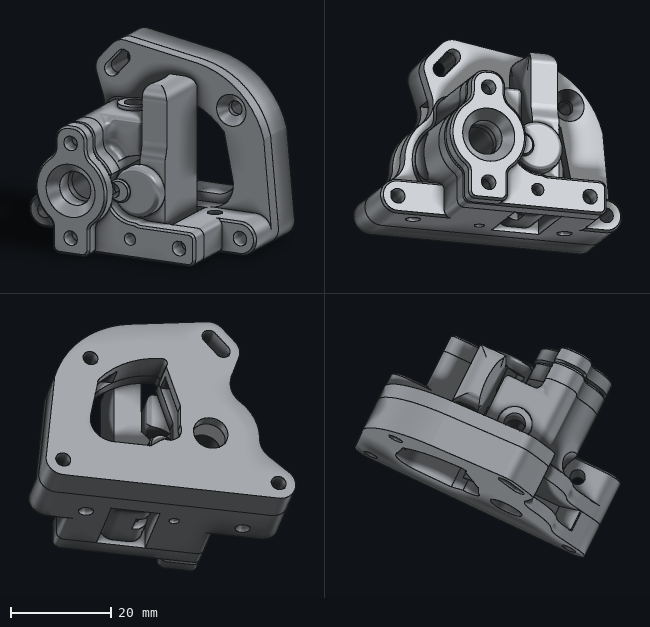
import cadquery as cq
import math


REAR_DEPTH = 7.0
PLATE_DEPTH = 10.0
LUG_DEPTH = 16.95
MIDDLE_DEPTH = 24.9
COVER_DEPTH = 28.85
CAP_DEPTH = 32.27
EDGE = 0.45
PICK = 0.3

LUG_R = 3.5
LUG_SPACING = 44.0
LUG_LEFT_X = -13.88
LUG_RIGHT_X = LUG_LEFT_X + LUG_SPACING
LUG_Z = -9.85
BASE_BOTTOM = LUG_Z - LUG_R
BASE_TOP = LUG_Z + LUG_R
BAR_RIGHT_X = 26.14
BAR_CORNER_R = 1.5
SCREW_D = 3.0
BASE_SCREW_LEFT_X = -9.39
BASE_SCREW_SPACING = 32.0
BASE_SCREW_RIGHT_X = BASE_SCREW_LEFT_X + BASE_SCREW_SPACING
SCREW_HEAD_R = 3.0
FEED_DEPTH = 13.25

HOUSING_R = 8.0
BORE_D = 7.0
BORE_MOUTH_D = 11.0
SPIGOT_D = 8.0
SPIGOT_DEPTH = 26.65
TOP_EAR_HALF = 3.5
TOP_EAR_CORNER_R = 3.0
TOP_EAR_BLEND_R = 3.0
FOOT_HALF = 4.1
FOOT_BLEND_R = 2.0
HOUSING_TOP = -BASE_BOTTOM

SLOT_TOP = (0.25, 22.2)
SLOT_LOW = (-2.45, 19.3)
SLOT_D = 3.0
SLOT_EAR_R = 3.5
SIDE_R = 10.0
SIDE_BLEND_R = 5.0
SIDE_ANGLE = 126.9
WAIST_TILT = 16.0
TOP_TILT = 9.2
FLANK_TILT = 33.0
BIG_ARC = ((16.77, 23.1), (27.25, 17.5), (31.85, 9.2))
SINK_SCREW = (24.56, 14.28)
SINK_D = 6.6

POCKET_BACK = 2.5
POCKET_TOP = 13.3
POCKET_OPEN_X = -20.0
POCKET_RIGHT = 26.0
POCKET_SIDE_TOP = 7.67
POCKET_SIDE_LOW = 1.6
POCKET_FLOOR = -3.4
POCKET_LIP = (-13.07, -5.0)
POCKET_SUMP = (-8.4, -9.8)
POCKET_STEP_X = 8.0

WINDOW_TOP_ARC = ((10.1, 15.95), (17.4, 13.96), (22.93, 9.5))
WINDOW_TIP_ARC = ((9.1, 14.3), (8.9, 15.2))
WINDOW_LEFT = 6.2
WINDOW_SHOULDER_Z = 5.5
WINDOW_SIDE_TILT = 10.0
WINDOW_CORNER = (19.95, -1.3)
WINDOW_CORNER_R = 5.05
REAR_CORNER = (19.8, 0.3)
REAR_CORNER_R = 4.75

LEVER_X = 12.2
LEVER_R = 5.195
LEVER_CLEAR_R = 6.0
LEVER_LEFT = 11.79
LEVER_RIGHT = LEVER_X + LEVER_R
LEVER_TOP = 21.15
LEVER_BACK = 10.95
LEVER_UPPER_FRONT = 24.05
LEVER_HEAD_FRONT = 27.65
LEVER_HEAD_EDGE = 1.0
LEVER_TOP_R = 2.95
PIVOT = (11.57, -9.38)
PIVOT_D = 2.5
PIVOT_BOSS_R = 3.5
PIVOT_BLEND_R = 2.0
WEB_TOP = -3.0
TAIL_R = 2.9
TAIL_CORNER_R = 2.75
FLARE_LOW = 6.05
FLARE_MID = 7.44
FLARE_TOP = 9.94
SCOOP_R = 17.0
SCOOP_DEPTH = 1.1
SCOOP_LOW = 13.6
IDLER_SLOT = (15.95, 19.87)
WELL_LEFT = 8.0
WELL_RIGHT = 17.95
WELL_LIP_R = 1.65

PIN_X = 8.65
PIN_D = 4.86
PIN_WAIST_D = 4.13
PIN_BACK = 6.5
PIN_FRONT = 28.2
PIN_CHAMFER = (PIN_D - PIN_WAIST_D) / 2
PIN_WALL = 0.8
PIN_GAP = 0.25
PIN_HOLE_X = 7.36
PIN_HOLE_D = 3.0

FEED_X = 4.6
FEED_D = 2.0
TUBE_D = 4.3
TUBE_LENGTH = 6.0
COLLAR_D = 7.0
COLLAR_TOP = HOUSING_TOP + 0.8
BLOCK_RIGHT = 10.75
BLOCK_FRONT = 22.0
BLOCK_CORNER_ARC = (7.0, (10.45, 6.4), (9.6, 5.95))
BLOCK_UNDERSIDE = ((7.8, 5.55), (6.3, 4.8))
BLOCK_EDGE_R = 1.0
BLOCK_BLEND_R = 1.9


def face_at(depth):
    return cq.Workplane("XZ", origin=(0, -depth, 0))


def rod(x, z, diameter, start, end):
    return face_at(start).center(x, z).circle(diameter / 2).extrude(end - start)


def box(x0, x1, start, end, z0, z1):
    return cq.Workplane("XY").box(x1 - x0, end - start, z1 - z0, centered=False).translate((x0, -end, z0))


def post(x, depth, diameter, z0, z1):
    return cq.Workplane("XY", origin=(x, -depth, z0)).circle(diameter / 2).extrude(z1 - z0)


def slanted_slot(width, start, end):
    """Round-ended prism along the slot of the plate's upper ear."""
    dx = SLOT_TOP[0] - SLOT_LOW[0]
    dz = SLOT_TOP[1] - SLOT_LOW[1]
    middle = (SLOT_LOW[0] + dx / 2, SLOT_LOW[1] + dz / 2)
    tilt = math.degrees(math.atan2(dz, dx))
    length = math.hypot(dx, dz) + width
    return face_at(start).center(*middle).slot2D(length, width, tilt).extrude(end - start)


def cone(x, z, wide, narrow, depth):
    """Countersink about Y, widest at the given depth, narrowing toward the rear at 45 degrees."""
    base = cq.Vector(x, -depth, z)
    rearward = cq.Vector(0, 1, 0)
    return cq.Workplane(cq.Solid.makeCone(wide / 2, narrow / 2, (wide - narrow) / 2, base, rearward))


def on_circle(center, radius, degrees):
    angle = math.radians(degrees)
    return (center[0] + radius * math.cos(angle), center[1] + radius * math.sin(angle))


def mirrored(point):
    return (-point[0], point[1])


def plate(start, end):
    """Back plate: slotted ear, large arc on the right, waisted left side and two lugs."""
    side_start = on_circle((0, 0), SIDE_R, SIDE_ANGLE)
    side_mid = on_circle((0, 0), SIDE_R, (SIDE_ANGLE + 180) / 2)
    waist = on_circle((0, 0), SIDE_R + SIDE_BLEND_R, SIDE_ANGLE)
    waist_low_angle = SIDE_ANGLE - 180
    waist_mid = on_circle(waist, SIDE_BLEND_R, (waist_low_angle + WAIST_TILT) / 2)
    waist_top = on_circle(waist, SIDE_BLEND_R, WAIST_TILT)
    ear_left = on_circle(SLOT_LOW, SLOT_EAR_R, 180 + WAIST_TILT)
    ear_top = on_circle(SLOT_TOP, SLOT_EAR_R, 90 - TOP_TILT)
    lug_left = (LUG_LEFT_X, LUG_Z)
    flank_low = on_circle(lug_left, LUG_R, 90 + FLANK_TILT)
    flank_blend = (-SIDE_R - SIDE_BLEND_R, 0)
    flank_top = on_circle(flank_blend, SIDE_BLEND_R, FLANK_TILT - 90)
    flank_mid = on_circle(flank_blend, SIDE_BLEND_R, (FLANK_TILT - 90) / 2)
    body = (
        face_at(start)
        .moveTo(*flank_low)
        .lineTo(*flank_top)
        .threePointArc(flank_mid, (-SIDE_R, 0))
        .threePointArc(side_mid, side_start)
        .threePointArc(waist_mid, waist_top)
        .lineTo(*ear_left)
        .lineTo(*SLOT_LOW)
        .lineTo(*SLOT_TOP)
        .lineTo(*ear_top)
        .lineTo(*BIG_ARC[0])
        .threePointArc(BIG_ARC[1], BIG_ARC[2])
        .lineTo(LUG_RIGHT_X + LUG_R, LUG_Z)
        .lineTo(LUG_RIGHT_X, LUG_Z)
        .lineTo(*lug_left)
        .close()
        .extrude(end - start)
    )
    return body.union(slanted_slot(2 * SLOT_EAR_R, start, end)).union(base_bar(start, end))


def base_bar(start, end):
    middle = (LUG_LEFT_X + LUG_RIGHT_X) / 2
    return (
        face_at(start).center(middle, LUG_Z)
        .slot2D(LUG_SPACING + 2 * LUG_R, 2 * LUG_R).extrude(end - start)
    )


def housing_wire(start):
    """Round housing with a screw ear on top and a straight foot below."""
    ear_x = TOP_EAR_HALF + TOP_EAR_BLEND_R
    ear_z = math.sqrt((HOUSING_R + TOP_EAR_BLEND_R) ** 2 - ear_x ** 2)
    ear_angle = math.degrees(math.atan2(ear_z, ear_x))
    ear_low = on_circle((0, 0), HOUSING_R, ear_angle)
    ear_mid = on_circle((ear_x, ear_z), TOP_EAR_BLEND_R, 180 + ear_angle / 2)
    corner = (TOP_EAR_HALF - TOP_EAR_CORNER_R, HOUSING_TOP - TOP_EAR_CORNER_R)
    corner_mid = on_circle(corner, TOP_EAR_CORNER_R, 45)

    foot_x = FOOT_HALF + FOOT_BLEND_R
    foot_z = -math.sqrt((HOUSING_R + FOOT_BLEND_R) ** 2 - foot_x ** 2)
    foot_angle = math.degrees(math.atan2(foot_z, foot_x))
    foot_top = on_circle((0, 0), HOUSING_R, foot_angle)
    foot_mid = on_circle((foot_x, foot_z), FOOT_BLEND_R, 180 + foot_angle / 2)
    heel = (FOOT_HALF - BAR_CORNER_R, BASE_BOTTOM + BAR_CORNER_R)
    heel_mid = on_circle(heel, BAR_CORNER_R, -45)
    return (
        face_at(start)
        .moveTo(-corner[0], HOUSING_TOP)
        .lineTo(corner[0], HOUSING_TOP)
        .threePointArc(corner_mid, (TOP_EAR_HALF, corner[1]))
        .lineTo(TOP_EAR_HALF, ear_z)
        .threePointArc(ear_mid, ear_low)
        .threePointArc((HOUSING_R, 0), foot_top)
        .threePointArc(foot_mid, (FOOT_HALF, foot_z))
        .lineTo(FOOT_HALF, heel[1])
        .threePointArc(heel_mid, (heel[0], BASE_BOTTOM))
        .lineTo(-heel[0], BASE_BOTTOM)
        .threePointArc(mirrored(heel_mid), (-FOOT_HALF, heel[1]))
        .lineTo(-FOOT_HALF, foot_z)
        .threePointArc(mirrored(foot_mid), mirrored(foot_top))
        .threePointArc((-HOUSING_R, 0), mirrored(ear_low))
        .threePointArc(mirrored(ear_mid), (-TOP_EAR_HALF, ear_z))
        .lineTo(-TOP_EAR_HALF, corner[1])
        .threePointArc(mirrored(corner_mid), (-corner[0], HOUSING_TOP))
        .close()
    )


def pin_relief(start, end):
    return rod(PIN_X, 0, PIN_D + 2 * PIN_GAP, start, end)


def lever_relief(start, end):
    """Clearance around the lever hub and the idler pin beside it."""
    return rod(LEVER_X, 0, 2 * LEVER_CLEAR_R, start, end).union(pin_relief(start, end))


def side_bar(start, end):
    """Bar to the right of the housing, raised around the lever's pivot."""
    bar = box(0, BAR_RIGHT_X, start, end, BASE_BOTTOM, BASE_TOP)
    bar = bar.edges("|Y and >X").fillet(BAR_CORNER_R)
    web = box(0, PIVOT[0], start, end, PIVOT[1], WEB_TOP)
    boss = rod(*PIVOT, 2 * PIVOT_BOSS_R, start, end)
    boss_end = PIVOT[0] + math.sqrt(PIVOT_BOSS_R ** 2 - (BASE_TOP - PIVOT[1]) ** 2)
    boss_corner = cq.selectors.BoxSelector(
        (boss_end - PICK, -end, BASE_TOP - PICK), (boss_end + PICK, -start, BASE_TOP + PICK))
    return bar.union(web).union(boss).edges(boss_corner).fillet(PIVOT_BLEND_R)


def window(start, end, floor_center, floor_r):
    """Opening around the lever; its lower right corner is an arc about floor_center."""
    floor_z = floor_center[1] - floor_r
    opening = (
        face_at(start)
        .moveTo(*WINDOW_TOP_ARC[0])
        .threePointArc(WINDOW_TOP_ARC[1], WINDOW_TOP_ARC[2])
        .lineTo(*on_circle(floor_center, floor_r, WINDOW_SIDE_TILT))
        .threePointArc(on_circle(floor_center, floor_r, -45), (floor_center[0], floor_z))
        .lineTo(LEVER_X, floor_z)
        .lineTo(WINDOW_LEFT, 0)
        .lineTo(WINDOW_LEFT, WINDOW_SHOULDER_Z)
        .lineTo(*WINDOW_TIP_ARC[0])
        .threePointArc(WINDOW_TIP_ARC[1], WINDOW_TOP_ARC[0])
        .close()
        .extrude(end - start)
    )
    return opening.union(pin_relief(start, end))


def plate_cuts():
    """Slot, countersunk screw hole and lug holes that run through the rear and middle bodies."""
    cuts = slanted_slot(SLOT_D, 0, PLATE_DEPTH)
    cuts = cuts.union(rod(*SINK_SCREW, SCREW_D, 0, PLATE_DEPTH))
    cuts = cuts.union(cone(*SINK_SCREW, SINK_D, SCREW_D, PLATE_DEPTH))
    for x in (LUG_LEFT_X, LUG_RIGHT_X):
        cuts = cuts.union(rod(x, LUG_Z, SCREW_D, 0, LUG_DEPTH))
    return cuts


def front_screw_holes(start, end):
    top = rod(0, -LUG_Z, SCREW_D, start, end)
    low = rod(0, LUG_Z, SCREW_D, start, end)
    right = rod(BASE_SCREW_RIGHT_X, LUG_Z, SCREW_D, start, end)
    return top.union(low).union(right)


def make_rear():
    top_r = POCKET_TOP - POCKET_SIDE_TOP
    low_r = POCKET_SIDE_LOW - POCKET_FLOOR
    pocket = (
        face_at(POCKET_BACK)
        .moveTo(POCKET_OPEN_X, POCKET_TOP)
        .lineTo(POCKET_RIGHT - top_r, POCKET_TOP)
        .radiusArc((POCKET_RIGHT, POCKET_SIDE_TOP), top_r)
        .lineTo(POCKET_RIGHT, POCKET_SIDE_LOW)
        .radiusArc((POCKET_RIGHT - low_r, POCKET_FLOOR), low_r)
        .lineTo(POCKET_STEP_X, POCKET_FLOOR)
        .lineTo(0, POCKET_SUMP[1])
        .lineTo(*POCKET_SUMP)
        .lineTo(*POCKET_LIP)
        .lineTo(POCKET_OPEN_X, POCKET_LIP[1])
        .close()
        .extrude(REAR_DEPTH - POCKET_BACK)
    )
    opening = window(0, REAR_DEPTH, REAR_CORNER, REAR_CORNER_R)
    body = plate(0, REAR_DEPTH).cut(pocket).cut(opening).cut(plate_cuts())
    return body.cut(rod(0, 0, BORE_D, 0, REAR_DEPTH))


def filament_block():
    block = (
        face_at(PLATE_DEPTH)
        .moveTo(0, HOUSING_TOP)
        .lineTo(BLOCK_RIGHT, HOUSING_TOP)
        .lineTo(BLOCK_RIGHT, BLOCK_CORNER_ARC[0])
        .threePointArc(BLOCK_CORNER_ARC[1], BLOCK_CORNER_ARC[2])
        .threePointArc(BLOCK_UNDERSIDE[0], BLOCK_UNDERSIDE[1])
        .lineTo(0, BLOCK_UNDERSIDE[1][1])
        .close()
        .extrude(BLOCK_FRONT - PLATE_DEPTH)
    )
    return block.edges("(>X and |Z) or (|Y and >X and >Z) or (<Y and >Z)").fillet(BLOCK_EDGE_R)


def root_flare():
    """45 degree flare where the housing meets the plate, left open at the lever window."""
    flare_end = PLATE_DEPTH + EDGE
    flare = housing_wire(PLATE_DEPTH).offset2D(EDGE).extrude(EDGE, taper=45)
    below = box(-HOUSING_R, HOUSING_R, PLATE_DEPTH, flare_end, BASE_BOTTOM - EDGE, BASE_BOTTOM)
    opening = window(PLATE_DEPTH, flare_end, WINDOW_CORNER, WINDOW_CORNER_R)
    return flare.cut(below).cut(opening)


def lever_well():
    """Shaft through the base for the lever's tail, with a rounded lip on its right."""
    well = box(WELL_LEFT, WELL_RIGHT, LEVER_BACK, MIDDLE_DEPTH, BASE_BOTTOM, 0)
    lip_right = WELL_RIGHT + WELL_LIP_R
    lip_z = BASE_TOP - WELL_LIP_R
    lip = box(WELL_RIGHT, lip_right, LEVER_BACK, MIDDLE_DEPTH, lip_z, BASE_TOP)
    return well.union(lip.cut(rod(lip_right, lip_z, 2 * WELL_LIP_R, LEVER_BACK, MIDDLE_DEPTH)))


def filament_path():
    """Tube socket from above, a funnel, and a narrow bore down through the base."""
    tube_end = COLLAR_TOP - TUBE_LENGTH
    funnel_height = (TUBE_D - FEED_D) / 2
    funnel_base = cq.Vector(FEED_X, -FEED_DEPTH, tube_end - funnel_height)
    funnel = cq.Workplane(cq.Solid.makeCone(FEED_D / 2, TUBE_D / 2, funnel_height, funnel_base))
    socket = post(FEED_X, FEED_DEPTH, TUBE_D, tube_end, COLLAR_TOP)
    return post(FEED_X, FEED_DEPTH, FEED_D, BASE_BOTTOM, tube_end).union(funnel).union(socket)


def make_middle():
    lug_bar = base_bar(REAR_DEPTH, LUG_DEPTH).faces("<Y").edges().chamfer(EDGE)
    head_room = post(BASE_SCREW_LEFT_X, FEED_DEPTH, 2 * SCREW_HEAD_R, BASE_TOP, HOUSING_TOP)
    case = housing_wire(PLATE_DEPTH).extrude(MIDDLE_DEPTH - PLATE_DEPTH)
    case = case.union(root_flare()).cut(head_room)
    case = case.union(filament_block()).union(side_bar(PLATE_DEPTH, MIDDLE_DEPTH))
    block_root = cq.selectors.BoxSelector(
        (TOP_EAR_HALF - 2, -BLOCK_FRONT - PICK, BLOCK_UNDERSIDE[0][1]),
        (HOUSING_R - 1, -BLOCK_FRONT + PICK, HOUSING_TOP - BLOCK_EDGE_R - PICK))
    case = case.edges(block_root).fillet(BLOCK_BLEND_R)

    body = plate(REAR_DEPTH, PLATE_DEPTH).union(lug_bar).union(case)
    body = body.union(post(FEED_X, FEED_DEPTH, COLLAR_D, HOUSING_TOP - BLOCK_EDGE_R, COLLAR_TOP))
    body = body.cut(window(REAR_DEPTH, PLATE_DEPTH, WINDOW_CORNER, WINDOW_CORNER_R))
    body = body.cut(lever_well()).cut(lever_relief(PLATE_DEPTH, MIDDLE_DEPTH))
    body = body.cut(plate_cuts()).cut(rod(0, 0, BORE_D, REAR_DEPTH, MIDDLE_DEPTH))
    body = body.cut(front_screw_holes(PLATE_DEPTH, MIDDLE_DEPTH))
    for x in (BASE_SCREW_LEFT_X, BASE_SCREW_RIGHT_X):
        body = body.cut(post(x, FEED_DEPTH, SCREW_D, BASE_BOTTOM, BASE_TOP))
    return body.cut(filament_path())


def make_cover():
    body = housing_wire(MIDDLE_DEPTH).extrude(COVER_DEPTH - MIDDLE_DEPTH)
    body = body.faces("<Y").edges().chamfer(EDGE)
    body = body.union(side_bar(MIDDLE_DEPTH, COVER_DEPTH).faces("<Y").edges().chamfer(EDGE))
    relief_mouth = cone(LEVER_X, 0, 2 * (LEVER_CLEAR_R + EDGE), 2 * LEVER_CLEAR_R, COVER_DEPTH)
    body = body.cut(lever_relief(MIDDLE_DEPTH, COVER_DEPTH)).cut(relief_mouth)
    body = body.cut(rod(0, 0, BORE_D, MIDDLE_DEPTH, COVER_DEPTH))
    body = body.cut(rod(0, 0, SPIGOT_D, SPIGOT_DEPTH, COVER_DEPTH))
    body = body.cut(rod(*PIVOT, PIVOT_D, MIDDLE_DEPTH, COVER_DEPTH))
    return body.cut(front_screw_holes(MIDDLE_DEPTH, COVER_DEPTH))


def make_cap():
    body = housing_wire(COVER_DEPTH).extrude(CAP_DEPTH - COVER_DEPTH)
    body = body.faces("<Y or >Y").edges().chamfer(EDGE)
    body = body.union(rod(0, 0, SPIGOT_D, SPIGOT_DEPTH, COVER_DEPTH))
    mouth = cone(0, 0, BORE_MOUTH_D, BORE_D, CAP_DEPTH)
    body = body.cut(rod(0, 0, BORE_D, SPIGOT_DEPTH, CAP_DEPTH)).cut(mouth)
    return body.cut(front_screw_holes(COVER_DEPTH, CAP_DEPTH))


def lever_arm():
    """Upright arm, flared toward the front at its foot and rounded at the top."""
    share = (FLARE_TOP - FLARE_MID) / (FLARE_TOP - FLARE_LOW)
    flare_depth = LEVER_UPPER_FRONT + share * (MIDDLE_DEPTH - LEVER_UPPER_FRONT)
    arm = (
        cq.Workplane("YZ", origin=(LEVER_LEFT, 0, 0))
        .moveTo(-LEVER_BACK, 0)
        .lineTo(-LEVER_BACK, LEVER_TOP)
        .lineTo(-LEVER_UPPER_FRONT, LEVER_TOP)
        .lineTo(-LEVER_UPPER_FRONT, FLARE_TOP)
        .tangentArcPoint((-flare_depth, FLARE_MID), relative=False)
        .tangentArcPoint((-MIDDLE_DEPTH, FLARE_LOW), relative=False)
        .lineTo(-MIDDLE_DEPTH, 0)
        .close()
        .extrude(LEVER_RIGHT - LEVER_LEFT)
    )
    arm = arm.faces(">Z").edges("not <X").fillet(LEVER_TOP_R)
    return arm.cut(thumb_scoop())


def thumb_scoop():
    """Leaning cylinder that bites deepest at the top of the lever's left face."""
    height = LEVER_TOP - SCOOP_LOW
    lean = math.degrees(math.atan2(SCOOP_DEPTH, height))
    middle = (LEVER_BACK + LEVER_UPPER_FRONT) / 2
    cylinder = cq.Workplane("XY").center(-SCOOP_R, 0).circle(SCOOP_R).extrude(2 * height)
    return cylinder.rotate((0, 0, 0), (0, 1, 0), lean).translate((LEVER_LEFT, -middle, SCOOP_LOW))


def lever_hub():
    """Round head in front; behind it the hub narrows to a wall around the pin."""
    hub = rod(LEVER_X, 0, 2 * LEVER_R, LEVER_BACK, LEVER_HEAD_FRONT)
    hub = hub.faces("<Y").edges().fillet(LEVER_HEAD_EDGE)
    notch = (
        face_at(LEVER_BACK)
        .moveTo(LEVER_LEFT, LEVER_R)
        .lineTo(PIN_X, LEVER_R - (LEVER_LEFT - PIN_X))
        .lineTo(PIN_X, 0)
        .lineTo(0, 0)
        .lineTo(0, LEVER_R)
        .close()
        .extrude(MIDDLE_DEPTH - LEVER_BACK)
        .cut(rod(PIN_X, 0, PIN_D + 2 * PIN_WALL, LEVER_BACK, MIDDLE_DEPTH))
    )
    return hub.cut(notch)


def make_lever():
    tail_bottom = PIVOT[1] - TAIL_R
    tail = box(PIVOT[0] - TAIL_R, LEVER_RIGHT, LEVER_BACK, MIDDLE_DEPTH, tail_bottom, 0)
    tail = tail.edges("|Y and <Z").fillet(TAIL_CORNER_R)
    body = lever_arm().union(lever_hub()).union(tail)
    body = body.cut(box(0, LEVER_LEFT, *IDLER_SLOT, tail_bottom, LEVER_R))
    body = body.cut(rod(*PIVOT, PIVOT_D, LEVER_BACK, MIDDLE_DEPTH))
    return body.cut(rod(PIN_X, 0, PIN_D, LEVER_BACK, LEVER_HEAD_FRONT))


def make_pin():
    body = rod(PIN_X, 0, PIN_D, PIN_BACK, PIN_FRONT).faces("<Y or >Y").edges().chamfer(PIN_CHAMFER)
    waist = rod(PIN_X, 0, PIN_D, *IDLER_SLOT).cut(rod(PIN_X, 0, PIN_WAIST_D, *IDLER_SLOT))
    return body.cut(waist).cut(rod(PIN_HOLE_X, 0, PIN_HOLE_D, PIN_BACK, PIN_FRONT))


bodies = [make_rear(), make_middle(), make_cover(), make_cap(), make_lever(), make_pin()]

result = cq.Compound.makeCompound([body.solids().val() for body in bodies])